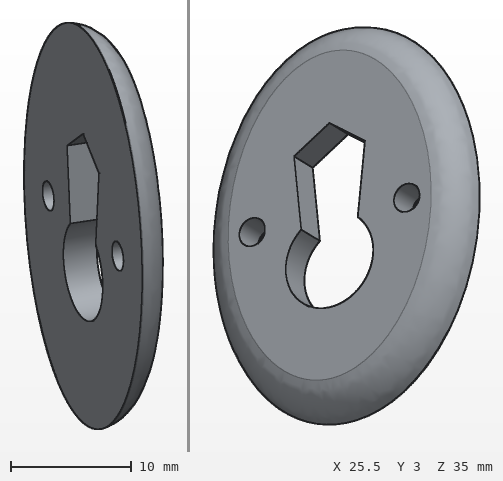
import cadquery as cq
import math

plate_width = 25.5
plate_height = 35.0
plate_thickness = 3.0

edge_radius = 3.7
edge_overshoot = 0.07
round_blank_depth = 1.4

bore_radius = 4.25
bore_center_z = -4.0
neck_half_width = 2.73
shoulder_half_width = 3.43
shoulder_z = 5.9
tip_z = 8.2

screw_hole_diameter = 2.5
screw_hole_spacing = 14.98


def make_plate():
    """Elliptical plate trimmed by a slightly larger blank with a rounded +Y edge."""
    plate = (
        cq.Workplane("XZ")
        .ellipse(plate_width / 2, plate_height / 2)
        .extrude(-plate_thickness)
    )
    rounded_blank = (
        cq.Workplane("XZ", origin=(0, -round_blank_depth, 0))
        .ellipse(plate_width / 2 + edge_overshoot, plate_height / 2 + edge_overshoot)
        .extrude(-(round_blank_depth + plate_thickness + edge_overshoot))
        .faces(">Y")
        .edges()
        .fillet(edge_radius)
    )
    return plate.intersect(rounded_blank)


def make_keyhole():
    """Round bore joined to a flared slot with a pointed top."""
    neck_z = bore_center_z + math.sqrt(bore_radius**2 - neck_half_width**2)
    return (
        cq.Workplane("XZ")
        .moveTo(-neck_half_width, neck_z)
        .lineTo(-shoulder_half_width, shoulder_z)
        .lineTo(0, tip_z)
        .lineTo(shoulder_half_width, shoulder_z)
        .lineTo(neck_half_width, neck_z)
        .threePointArc((0, bore_center_z - bore_radius), (-neck_half_width, neck_z))
        .close()
        .extrude(-plate_thickness)
    )


def make_screw_holes():
    """Pair of plain through holes on the horizontal centre line."""
    return (
        cq.Workplane("XZ")
        .pushPoints([(side * screw_hole_spacing / 2, 0) for side in (-1, 1)])
        .circle(screw_hole_diameter / 2)
        .extrude(-plate_thickness)
    )


result = make_plate().cut(make_keyhole()).cut(make_screw_holes())